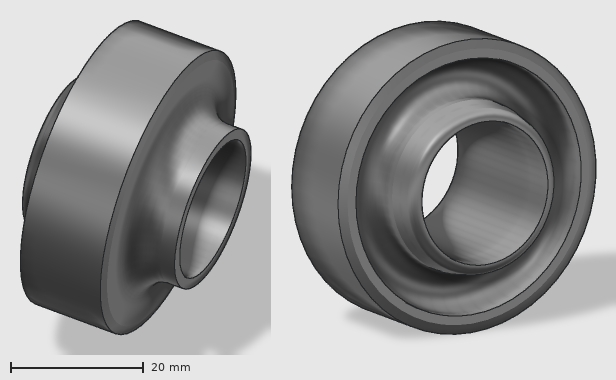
import cadquery as cq
import math

length = 26.3
rim_radius = 22.75
bore_radius = 22.2 / 2
hub_radius = 25.65 / 2
nose_base_radius = 26.9 / 2
groove_outer_radius = 39.7 / 2

rim_start = 4.8
rim_width = 14.42
bevel_width = 0.45
bevel_height = 1.45
collar_length = 2.45
groove_wall_depth = 1.6
nose_round = 1.6
nose_taper = math.radians(10)

rim_end = rim_start + rim_width
bevel_radius = rim_radius - bevel_height
collar_start = length - collar_length
web_fillet = collar_start - rim_end
groove_wall_end = rim_start + groove_wall_depth
groove_floor_radius = (groove_outer_radius - nose_base_radius) / 2
groove_middle_radius = (groove_outer_radius + nose_base_radius) / 2

round_end_x = nose_round * (1 - math.sin(nose_taper))
round_end_radius = nose_base_radius - (rim_start - round_end_x) * math.tan(nose_taper)
round_start_radius = round_end_radius - nose_round * math.cos(nose_taper)
round_middle_angle = (math.pi / 2 + nose_taper + math.pi) / 2
round_middle = (
    nose_round * (1 + math.cos(round_middle_angle)),
    round_start_radius + nose_round * math.sin(round_middle_angle),
)

web_fillet_middle = (
    collar_start - web_fillet * math.sin(math.pi / 4),
    hub_radius + web_fillet * (1 - math.cos(math.pi / 4)),
)

half_section = (
    cq.Workplane("XY")
    .moveTo(0, bore_radius)
    .lineTo(0, round_start_radius)
    .threePointArc(round_middle, (round_end_x, round_end_radius))
    .lineTo(rim_start, nose_base_radius)
    .lineTo(groove_wall_end, nose_base_radius)
    .threePointArc(
        (groove_wall_end + groove_floor_radius, groove_middle_radius),
        (groove_wall_end, groove_outer_radius),
    )
    .lineTo(rim_start, groove_outer_radius)
    .lineTo(rim_start, bevel_radius)
    .lineTo(rim_start + bevel_width, rim_radius)
    .lineTo(rim_end - bevel_width, rim_radius)
    .lineTo(rim_end, bevel_radius)
    .lineTo(rim_end, hub_radius + web_fillet)
    .threePointArc(web_fillet_middle, (collar_start, hub_radius))
    .lineTo(length, hub_radius)
    .lineTo(length, bore_radius)
    .close()
)

result = half_section.revolve(360, (0, 0, 0), (1, 0, 0))